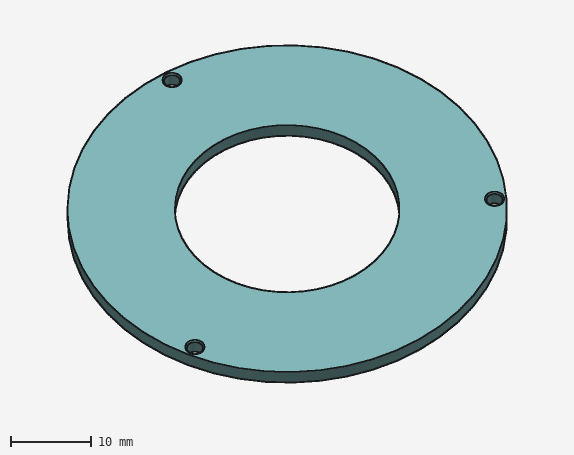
import cadquery as cq

OUTER_DIAMETER = 54.8
BORE_DIAMETER = 28.0
THICKNESS = 2.0

HOLE_COUNT = 3
HOLE_CIRCLE_RADIUS = 25.9
FIRST_HOLE_ANGLE = 78.0
HOLE_DIAMETER = 2.0
HOLE_MOUTH_DIAMETER = 2.4
COUNTERSINK_ANGLE = 90.0


def make_ring():
    """Flat ring resting on the XY plane, centred on Z."""
    return (
        cq.Workplane("XY")
        .circle(OUTER_DIAMETER / 2)
        .circle(BORE_DIAMETER / 2)
        .extrude(THICKNESS)
    )


def drill_holes(ring):
    """Evenly spaced through holes, each countersunk at the top face."""
    return (
        ring.faces(">Z")
        .workplane(origin=(0, 0, THICKNESS))
        .polarArray(HOLE_CIRCLE_RADIUS, FIRST_HOLE_ANGLE, 360, HOLE_COUNT)
        .cskHole(HOLE_DIAMETER, HOLE_MOUTH_DIAMETER, COUNTERSINK_ANGLE)
    )


result = drill_holes(make_ring())